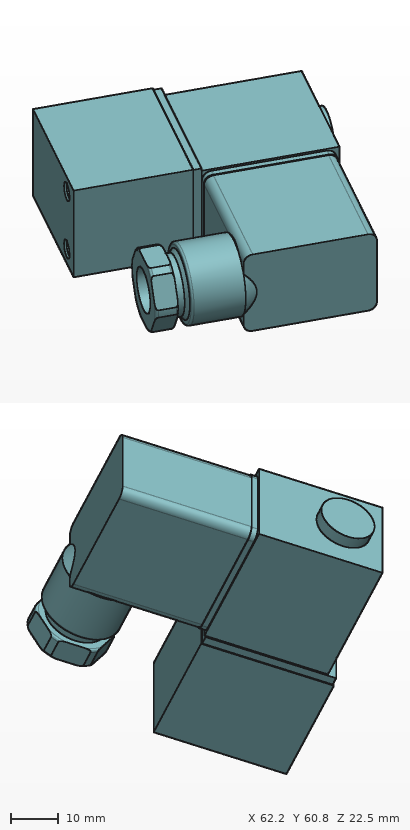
import cadquery as cq
import math


block_x = 30.05
block_y = 26.1
block_z = 22.5

plate_inset = 0.25
plate_y = 1.85

coil_x = 27.9
coil_y = 30.0
coil_z = 21.2

boss_diameter = 12.0
boss_center_x = 11.1
boss_top_y = 60.8

corner_radius = 2.0
gasket_x = 1.35
gasket_y = 29.25
gasket_z = 20.3
plug_x = 29.1
plug_y = 29.1
plug_z = 19.85

overall_x = 62.2
gland_diameter = 18.0
gland_end_y = 16.25
gland_rim_fillet = 0.5
shoulder_angle = 60.0
neck_diameter = 13.6
neck_flare = 0.9
nut_end_y = 8.4
nut_y = 5.05
nut_across_flats = 16.4
nut_fillet = 0.55
cable_bore_diameter = 10.0
cable_bore_depth = 12.45

port_diameter = 11.45
port_chamfer = 0.8
port_depth = 7.95
port_center_y = 9.6
mount_diameter = 3.25
mount_chamfer = 0.45
mount_depth = 6.0
mount_center_x = 25.0
mount_spacing_z = 14.9

coil_base_y = block_y + plate_y
coil_top_y = coil_base_y + coil_y
gasket_center_y = coil_base_y + gasket_y / 2
plug_start_x = block_x + gasket_x
plug_bottom_y = gasket_center_y - plug_y / 2
gland_radius = gland_diameter / 2
gland_center_x = overall_x - gland_radius
nut_top_y = nut_end_y + nut_y


def corner_box(x_start, y_start, x_size, y_size, z_size):
    """Box from its low X and Y corner, centered on Z = 0."""
    box = cq.Workplane("XY").box(x_size, y_size, z_size, centered=(False, False, True))
    return box.translate((x_start, y_start, 0))


def rounded_bar(x_start, x_size, y_size, z_size):
    """Bar along X with its four long edges rounded."""
    bar = corner_box(x_start, gasket_center_y - y_size / 2, x_size, y_size, z_size)
    return bar.edges("|X").fillet(corner_radius)


def make_valve_stack():
    block = corner_box(0, 0, block_x, block_y, block_z)
    plate = corner_box(
        plate_inset, block_y, block_x - 2 * plate_inset, plate_y, block_z - 2 * plate_inset
    )
    coil = corner_box(block_x - coil_x, coil_base_y, coil_x, coil_y, coil_z)
    boss = (
        cq.Workplane("XZ", origin=(boss_center_x, coil_top_y, 0))
        .circle(boss_diameter / 2)
        .extrude(coil_top_y - boss_top_y)
    )
    return block.union(plate).union(coil).union(boss)


def make_plug():
    gasket = rounded_bar(block_x, gasket_x, gasket_y, gasket_z)
    body = rounded_bar(plug_start_x, plug_x, plug_y, plug_z)
    return gasket.union(body)


def make_gland_body():
    """Revolved barrel with a conical shoulder sunk in the plug and a neck flared at its root."""
    neck_radius = neck_diameter / 2
    shoulder_y = plug_bottom_y + gland_radius * math.tan(math.radians(shoulder_angle))
    rim_inset = gland_rim_fillet * (1 - math.sqrt(0.5))
    rim_middle = (gland_radius - rim_inset, gland_end_y + rim_inset)
    return (
        cq.Workplane("XY")
        .moveTo(0, nut_top_y)
        .lineTo(neck_radius, nut_top_y)
        .lineTo(neck_radius, gland_end_y - neck_flare)
        .lineTo(neck_radius + neck_flare, gland_end_y)
        .lineTo(gland_radius - gland_rim_fillet, gland_end_y)
        .threePointArc(rim_middle, (gland_radius, gland_end_y + gland_rim_fillet))
        .lineTo(gland_radius, plug_bottom_y)
        .lineTo(0, shoulder_y)
        .close()
        .revolve(360, (0, 0, 0), (0, 1, 0))
        .translate((gland_center_x, 0, 0))
    )


def make_gland_nut():
    """Hexagon with corners trimmed by a round blank filleted at both ends."""
    blank = cq.Workplane("XZ", origin=(0, nut_top_y, 0)).circle(gland_radius).extrude(nut_y)
    blank = blank.edges("%CIRCLE").fillet(nut_fillet)
    across_corners = nut_across_flats / math.cos(math.radians(30))
    hexagon = cq.Workplane("XZ", origin=(0, nut_top_y, 0)).polygon(6, across_corners).extrude(nut_y)
    return blank.intersect(hexagon).translate((gland_center_x, 0, 0))


def hole_cutter(mouth, direction, diameter, depth, chamfer=0):
    """Blind hole from a mouth point, with an optional 45 degree chamfer at the mouth."""
    point = cq.Vector(*mouth)
    axis = cq.Vector(*direction)
    radius = diameter / 2
    cutter = cq.Workplane(cq.Solid.makeCylinder(radius, depth, point, axis))
    if chamfer:
        cutter = cutter.union(
            cq.Workplane(cq.Solid.makeCone(radius + chamfer, radius, chamfer, point, axis))
        )
    return cutter


result = make_valve_stack().union(make_plug()).union(make_gland_body()).union(make_gland_nut())

along_y = (0, 1, 0)
along_x = (1, 0, 0)
result = result.cut(
    hole_cutter((gland_center_x, nut_end_y, 0), along_y, cable_bore_diameter, cable_bore_depth)
)
result = result.cut(
    hole_cutter((0, port_center_y, 0), along_x, port_diameter, port_depth, port_chamfer)
)
for side in (-1, 1):
    mount_mouth = (mount_center_x, 0, side * mount_spacing_z / 2)
    result = result.cut(
        hole_cutter(mount_mouth, along_y, mount_diameter, mount_depth, mount_chamfer)
    )